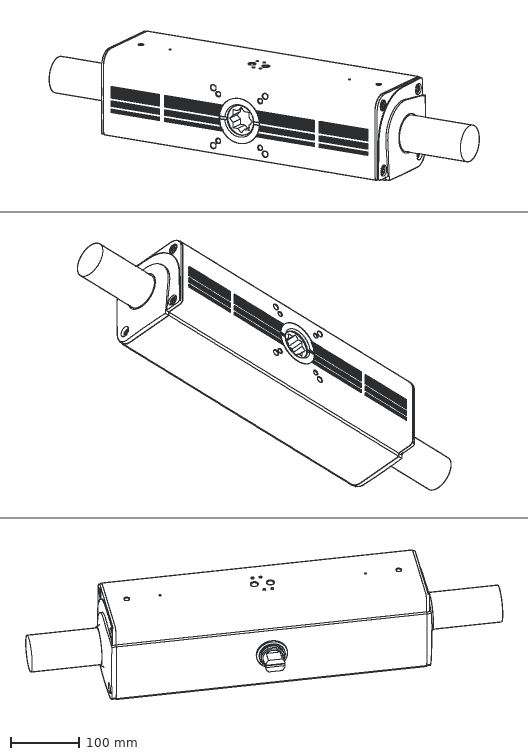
import cadquery as cq
import math


total_length = 702.0
front_reach = 72.0
top_reach = 71.5
main_back = 57.5
step_reach = 62.5
step_floor = 64.0
step_back = 42.0
large_corner = 22.0
small_corner = 6.0

band_inner = 128.0
band_outer = 136.0
end_band_inner = 219.0
body_half = 232.0
cover_face = 235.0
cover_inset = 1.0

low_pad_radius = 69.0
low_pad_corner = (main_back, 70.0)
low_pad_face = 236.5
high_pad_radius = 49.0
high_pad_corner = (step_reach, step_back)
pad_overrun = 84.0
cone_inner_face = 241.0
cone_outer_face = 237.0
cone_outer_radius = 88.0

rod_radius = 55.0 / 2
flare_radius = 35.0
flare_top_radius = 29.5
flare_end = 247.0
flare_bow = 0.3

screw_centre = 5.0
screw_half_pitch = 50.0
screw_recess_diameter = 16.0
screw_recess_floor = 232.5
screw_head_diameter = 13.0
screw_head_face = 234.5
screw_socket_diameter = 8.5
screw_socket_depth = 2.0

drill_point_half_angle = math.radians(59)

groove_pitch = 3.15
groove_width = 1.55
groove_depth = 2.0
groove_reach = 6
plain_pitches = (0, -4)
ring_radius = 34.5
ring_recess = 1.0
ring_notch_width = 4.0
ring_notch_depth = 2.0
drive_mouth_diameter = 50.5
drive_bore_diameter = 45.0
drive_mouth_depth = 3.5
star_face_recess = 5.5
star_across_flats = 27.5
star_depth = 21.0
inner_mount_offset = 36.0
inner_mount_diameters = (8.5, 6.7)
outer_mount_offset = 44.0
outer_mount_diameters = (10.0, 8.5)
mount_depth = 14.0

port_centre_y = -15.5
port_offset = 12.0
port_diameters = (12.0, 10.0)
valve_hole_offset = 15.5
valve_hole_diameters = (4.15, 3.2)
end_hole_x = 203.0
end_hole_diameters = (8.5, 6.7)
pin_hole_x = 153.0
pin_hole_diameters = (3.0, 2.0)
side_hole_y = -12.5
top_hole_depth = 10.5

shaft_steps = ((46.0, 65.0), (38.5, 67.5), (34.5, 71.5))
shaft_tip = 93.0
tip_diameter = 29.5
tip_flats = 21.0
tip_flats_end = 75.0
tip_slot_width = 4.0
tip_slot_depth = 4.0


def square_bar(y_min, y_max, z_min, z_max, start, end):
    """Bar along X between two stations."""
    size = (end - start, y_max - y_min, z_max - z_min)
    return cq.Workplane("XY").box(*size, centered=False).translate((start, y_min, z_min))


def housing_section(start, end, inset):
    """Stretch of the stepped housing section, drawn in all round by inset."""
    main = square_bar(
        inset - front_reach, main_back - inset, inset - main_back, top_reach - inset, start, end
    )
    main = main.edges("|X").edges("<Y").edges(">Z").fillet(large_corner)
    main = main.edges("|X").edges(">Y").edges(">Z").fillet(small_corner)
    main = main.edges("|X").edges("<Y").edges("<Z").fillet(small_corner)
    step = square_bar(
        inset - step_back, step_reach - inset, inset - step_floor, step_back - inset, start, end
    )
    step = step.edges("|X").edges(">Y").edges("<Z").fillet(large_corner)
    return main.union(step)


def cylinder_y(diameter, start, end):
    """Cylinder along Y on the drive axis."""
    disc = cq.Workplane("XZ", origin=(0, end, 0)).circle(diameter / 2)
    return disc.extrude(end - start)


def pad(radius, corner, start, end):
    """Pad with a round shoulder and two tangent sides, symmetric about the line Y = -Z."""
    corner_y, corner_z = corner
    corner_angle = math.atan2(corner_z, corner_y)
    touch_angle = corner_angle + math.acos(radius / math.hypot(corner_y, corner_z))
    touch_y = radius * math.cos(touch_angle)
    touch_z = radius * math.sin(touch_angle)
    shoulder = radius * math.sqrt(0.5)
    return (
        cq.Workplane("YZ", origin=(start, 0, 0))
        .moveTo(corner_y, corner_z)
        .lineTo(touch_y, touch_z)
        .threePointArc((-shoulder, shoulder), (-touch_z, -touch_y))
        .lineTo(-corner_z, -corner_y)
        .lineTo(-corner_z, -pad_overrun)
        .lineTo(pad_overrun, -pad_overrun)
        .lineTo(pad_overrun, corner_z)
        .close()
        .extrude(end - start)
    )


def rod_end():
    """Rod with the concave flare at its root."""
    middle_x = cone_inner_face + flare_bow * (flare_end - cone_inner_face)
    middle_radius = flare_top_radius + flare_bow * (flare_radius - flare_top_radius)
    outline = (
        cq.Workplane("XY")
        .moveTo(body_half, 0)
        .lineTo(body_half, flare_radius)
        .lineTo(cone_inner_face, flare_radius)
        .threePointArc(
            (middle_x, middle_radius),
            (flare_end, flare_top_radius),
        )
        .lineTo(flare_end, rod_radius)
        .lineTo(total_length / 2, rod_radius)
        .lineTo(total_length / 2, 0)
        .close()
    )
    return outline.revolve(360, (0, 0, 0), (1, 0, 0))


def pad_cone():
    """Shallow cone that limits the height of the high pad."""
    outline = (
        cq.Workplane("XY")
        .moveTo(body_half, 0)
        .lineTo(cone_inner_face, 0)
        .lineTo(cone_inner_face, flare_radius)
        .lineTo(cone_outer_face, cone_outer_radius)
        .lineTo(body_half, cone_outer_radius)
        .close()
    )
    return outline.revolve(360, (0, 0, 0), (1, 0, 0))


def end_cover():
    """Cover at the +X end with its pads, screws and rod."""
    cover = housing_section(body_half, cover_face, cover_inset)
    pads = pad(low_pad_radius, low_pad_corner, body_half, low_pad_face)
    high_pad = pad(high_pad_radius, high_pad_corner, body_half, cone_inner_face)
    pads = pads.union(high_pad.intersect(pad_cone()))
    cover = cover.union(pads.intersect(housing_section(body_half, cone_inner_face, cover_inset)))
    screw_points = [
        (y - screw_centre, z + screw_centre)
        for y in (-screw_half_pitch, screw_half_pitch)
        for z in (-screw_half_pitch, screw_half_pitch)
    ]
    floor = cq.Workplane("YZ", origin=(screw_recess_floor, 0, 0)).pushPoints(screw_points)
    recesses = floor.circle(screw_recess_diameter / 2).extrude(cone_inner_face - screw_recess_floor)
    heads = floor.circle(screw_head_diameter / 2).extrude(screw_head_face - screw_recess_floor)
    sockets = (
        cq.Workplane("YZ", origin=(screw_head_face, 0, 0))
        .pushPoints(screw_points)
        .polygon(6, screw_socket_diameter)
        .extrude(-screw_socket_depth)
    )
    return cover.cut(recesses).union(heads).cut(sockets).union(rod_end())


def front_grooves():
    """Fine lengthwise grooves between the bands, stopping at the drive ring."""
    pitches = range(-groove_reach, groove_reach + 1)
    levels = [i * groove_pitch for i in pitches if i not in plain_pitches]
    half = groove_width / 2
    floor = groove_depth - front_reach
    panels = (
        (-end_band_inner, -band_outer),
        (-band_inner, band_inner),
        (band_outer, end_band_inner),
    )
    grooves = cq.Workplane("XY")
    for start, end in panels:
        for z in levels:
            grooves = grooves.add(square_bar(-front_reach, floor, z - half, z + half, start, end))
    grooves = grooves.combine()
    return grooves.cut(cylinder_y(2 * ring_radius, -front_reach, floor))


def drive_recess():
    """Recessed ring, stepped bore and eight-pointed star socket in the front face."""
    ring_face = ring_recess - front_reach
    star_face = star_face_recess - front_reach
    recess = cylinder_y(2 * ring_radius, -front_reach, ring_face)
    mouth = cq.Solid.makeCone(
        drive_mouth_diameter / 2,
        drive_bore_diameter / 2,
        drive_mouth_depth,
        cq.Vector(0, -front_reach, 0),
        cq.Vector(0, 1, 0),
    )
    recess = recess.union(cq.Workplane(mouth))
    recess = recess.union(cylinder_y(drive_bore_diameter, -front_reach, star_face))
    star_square = (
        cq.Workplane("XZ", origin=(0, star_face, 0))
        .rect(star_across_flats, star_across_flats)
        .extrude(-star_depth)
    )
    for angle in (0, 45):
        recess = recess.union(star_square.rotate((0, 0, 0), (0, 1, 0), angle))
    half = ring_notch_width / 2
    notch = square_bar(-front_reach, ring_face + ring_notch_depth, -half, half, -ring_radius, ring_radius)
    return recess.union(notch)


def drilled_hole(diameters, depth):
    """Cutter along -Z from the origin: countersunk mouth, straight core and drill point."""
    mouth, core = (diameter / 2 for diameter in diameters)
    sink = mouth - core
    outline = (
        cq.Workplane("XZ")
        .lineTo(mouth, 0)
        .lineTo(core, -sink)
        .lineTo(core, -depth)
        .lineTo(0, -depth - core / math.tan(drill_point_half_angle))
        .close()
    )
    return outline.revolve(360, (0, 0, 0), (0, 1, 0))


def mount_holes(offset, diameters):
    """Four blind holes in the front face, on a square about the drive axis."""
    hole = drilled_hole(diameters, mount_depth).rotate((0, 0, 0), (1, 0, 0), 90)
    holes = cq.Workplane("XY")
    for x in (-offset, offset):
        for z in (-offset, offset):
            holes = holes.add(hole.translate((x, -front_reach, z)))
    return holes.combine()


def top_holes(points, diameters):
    """Blind holes in the top face."""
    hole = drilled_hole(diameters, top_hole_depth)
    holes = cq.Workplane("XY")
    for x, y in points:
        holes = holes.add(hole.translate((x, y, top_reach)))
    return holes.combine()


def indicator_shaft():
    """Stepped shaft with two flats and a slotted tip, on the drive axis."""
    half_width = tip_diameter / 2
    half_flats = tip_flats / 2
    shaft = cylinder_y(tip_diameter, tip_flats_end, shaft_tip)
    shaft = shaft.intersect(
        square_bar(tip_flats_end, shaft_tip, -half_flats, half_flats, -half_width, half_width)
    )
    half_slot = tip_slot_width / 2
    shaft = shaft.cut(
        square_bar(shaft_tip - tip_slot_depth, shaft_tip, -half_slot, half_slot, -half_width, half_width)
    )
    shaft = shaft.union(cylinder_y(tip_diameter, main_back, tip_flats_end))
    for diameter, end in shaft_steps:
        shaft = shaft.union(cylinder_y(diameter, main_back, end))
    return shaft


body = housing_section(-body_half, body_half, 0)

body = body.cut(front_grooves())
body = body.cut(drive_recess())
body = body.cut(mount_holes(inner_mount_offset, inner_mount_diameters))
body = body.cut(mount_holes(outer_mount_offset, outer_mount_diameters))

port_points = [(-port_offset, port_centre_y), (port_offset, port_centre_y)]
upper_row = port_centre_y + valve_hole_offset
lower_row = port_centre_y - valve_hole_offset
valve_points = [(-port_offset, upper_row), (0, upper_row), (0, lower_row), (port_offset, lower_row)]
body = body.cut(top_holes(port_points, port_diameters))
body = body.cut(top_holes(valve_points, valve_hole_diameters))
body = body.cut(top_holes([(-end_hole_x, side_hole_y), (end_hole_x, side_hole_y)], end_hole_diameters))
body = body.cut(top_holes([(-pin_hole_x, side_hole_y), (pin_hole_x, side_hole_y)], pin_hole_diameters))

cover = end_cover()
result = body.union(cover).union(cover.mirror("YZ")).union(indicator_shaft())